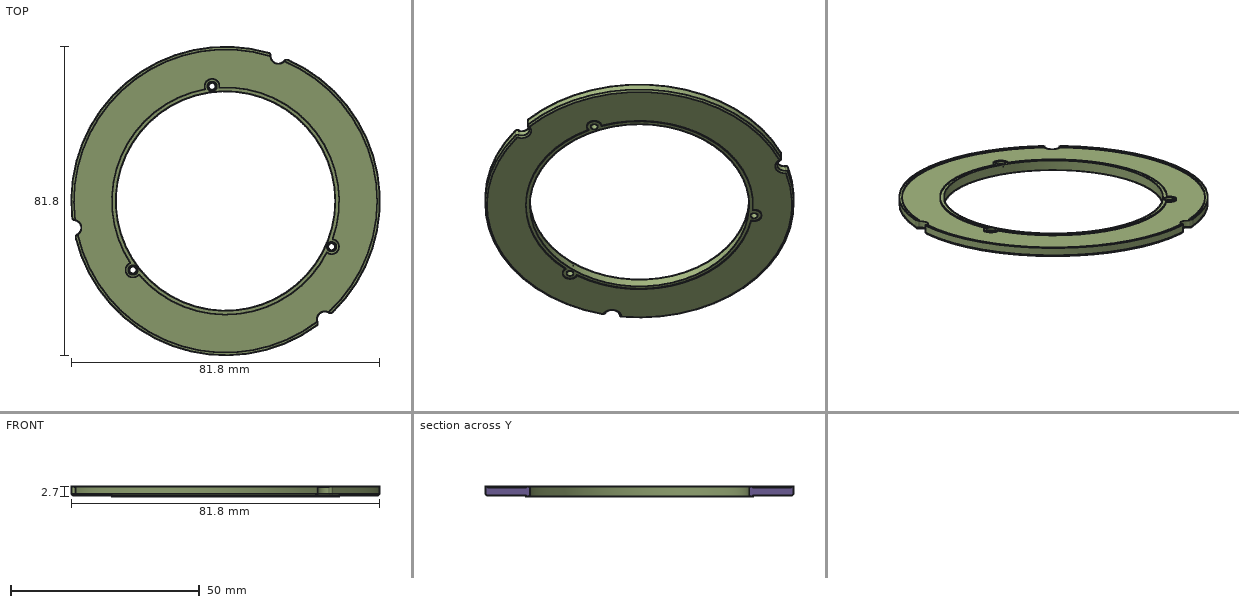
import cadquery as cq
import math

outer_diameter = 81.75
bore_diameter = 58.05
total_height = 2.7
recess_depth = 0.25
outer_chamfer = 0.5

rim_width = 0.7
inner_lip_width = 1.1

repeat_count = 3
boss_circle_radius = 30.6
boss_diameter = 3.9
first_boss_angle = 96.7
hole_diameter = 1.8
counterbore_diameter = 2.5
counterbore_depth = 0.7

notch_radius = 2.05
notch_corner_radius = 0.7
first_notch_angle = 70.0

outer_radius = outer_diameter / 2
bore_radius = bore_diameter / 2
inner_lip_radius = bore_radius + inner_lip_width
recess_radius = outer_radius - rim_width
body_height = total_height - recess_depth


def polar_points(radius, first_angle):
    """Evenly spaced points on a circle about the ring axis."""
    angles = [math.radians(first_angle + i * 360 / repeat_count) for i in range(repeat_count)]
    return [(radius * math.cos(a), radius * math.sin(a)) for a in angles]


boss_points = polar_points(boss_circle_radius, first_boss_angle)


def make_body():
    """Notched disc with its lower outer edge chamfered."""
    disc = cq.Workplane("XY").workplane(offset=recess_depth).circle(outer_radius).extrude(body_height)
    notches = (
        cq.Workplane("XY")
        .pushPoints(polar_points(outer_radius, first_notch_angle))
        .circle(notch_radius)
        .extrude(total_height)
    )
    notched = disc.cut(notches)
    corners = notched.edges("|Z").filter(
        lambda e: math.hypot(e.Center().x, e.Center().y) > recess_radius
        and math.hypot(e.Center().x - outer_radius, e.Center().y) > notch_radius
    )
    return corners.fillet(notch_corner_radius).faces("<Z").edges().chamfer(outer_chamfer)


def make_lip(bottom):
    """Thin inner lip with the three bosses merged into it."""
    base = cq.Workplane("XY").workplane(offset=bottom)
    lip = base.circle(inner_lip_radius).extrude(recess_depth)
    bosses = base.pushPoints(boss_points).circle(boss_diameter / 2).extrude(recess_depth)
    return lip.union(bosses)


recess = cq.Workplane("XY").workplane(offset=body_height).circle(recess_radius).extrude(recess_depth)
ring = make_body().cut(recess)

ring = ring.union(make_lip(0)).union(make_lip(body_height))

ring = ring.cut(cq.Workplane("XY").circle(bore_radius).extrude(total_height))

result = (
    ring.faces(">Z")
    .workplane(origin=(0, 0, total_height))
    .pushPoints(boss_points)
    .cboreHole(hole_diameter, counterbore_diameter, counterbore_depth)
)